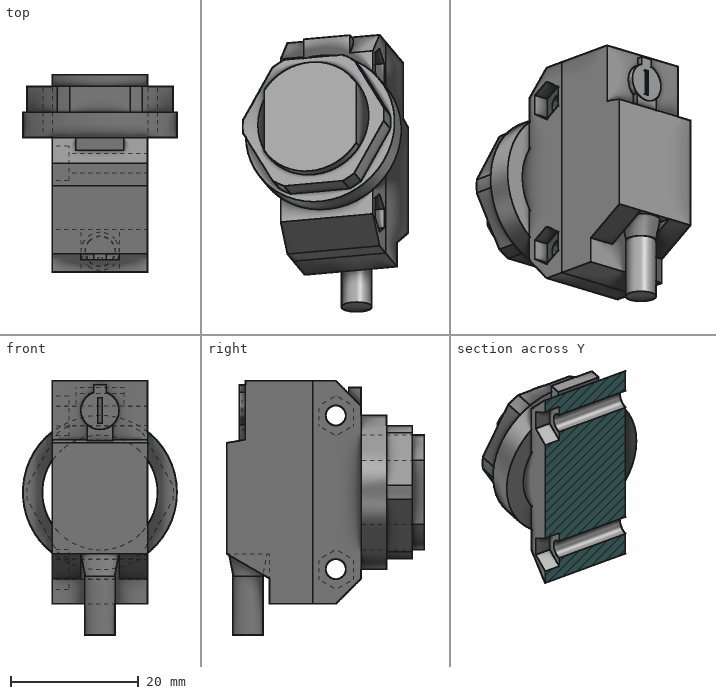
import cadquery as cq
import math


OVERALL_HEIGHT = 39.88

BODY_WIDTH = 15.0
BODY_HEIGHT = 35.0
BODY_DEPTH = 21.1
COVER_DEPTH = 7.58
COVER_CHAMFER = 4.0
UPPER_FRONT_DEPTH = 18.2
LOWER_FRONT_DEPTH = 14.4
STEP_BACK_Z = 8.25
STEP_FRONT_Z = 7.78
SLOPE_FRONT_Z = -9.65
SLOPE_ANGLE = 30
SLOPE_BACK_Z = SLOPE_FRONT_Z - (BODY_DEPTH - LOWER_FRONT_DEPTH) * math.tan(math.radians(SLOPE_ANGLE))

HOLE_DIAMETER = 3.1
HOLE_DEPTH_FROM_REAR = COVER_CHAMFER
HOLE_HALF_SPACING = 12.05
HEX_ACROSS_FLATS = 5.42
HEX_POCKET_DEPTH = 2.6

TAB_WIDTH = 7.55
TAB_THICKNESS = 2.0
TAB_TOP_Z = 16.47

NECK_RADIUS = 9.0
NECK_LENGTH = 9.9
WASHER_DIAMETER = 24.2
WASHER_THICKNESS = 4.0
NUT_THICKNESS = 4.03
NUT_ACROSS_FLATS = 20.9
NUT_CORNER_RADIUS = 11.5

ADJUSTER_Z = 12.85
ADJUSTER_RADIUS = 3.0
ADJUSTER_THICKNESS = 0.95
POINTER_WIDTH = 2.0
POINTER_TOP_Z = 16.85
SLOT_WIDTH = 0.68
SLOT_LENGTH = 4.0
SLOT_DEPTH = 0.4
RIB_WIDTH = 4.0

CABLE_DEPTH_FROM_REAR = 17.8
CABLE_RADIUS = 2.4
CABLE_BOTTOM_Z = BODY_HEIGHT / 2 - OVERALL_HEIGHT
SLEEVE_TOP_RADIUS = 3.0
SLEEVE_BOTTOM_RADIUS = 2.3
SLEEVE_BOTTOM_Z = -13.12
RECESS_WIDTH = 2 * SLEEVE_TOP_RADIUS

TOP_Z = BODY_HEIGHT / 2


def hex_corner_diameter(across_flats):
    """Diameter of the circle through the corners of a hexagon."""
    return across_flats / math.cos(math.pi / 6)


def box(width, y_min, y_max, z_min, z_max):
    """Box centred on X = 0 between the given Y and Z limits."""
    size = (width, y_max - y_min, z_max - z_min)
    return cq.Workplane("XY", origin=(0, y_min, z_min)).box(*size, centered=(True, False, False))


def side_profile(points):
    """Extrude a (Y, Z) outline across the full body width."""
    return cq.Workplane("YZ").polyline(points).close().extrude(BODY_WIDTH / 2, both=True)


def rod(radius, y_min, y_max, z=0):
    """Cylinder along Y."""
    return cq.Workplane("XZ", origin=(0, y_max, z)).circle(radius).extrude(y_max - y_min)


def adjuster_blank():
    """Disc with its pointer, before the slot is cut."""
    back = -UPPER_FRONT_DEPTH
    front = back - ADJUSTER_THICKNESS
    disc = rod(ADJUSTER_RADIUS, front, back, ADJUSTER_Z)
    pointer = box(POINTER_WIDTH, front, back, ADJUSTER_Z, POINTER_TOP_Z)
    return disc.union(pointer)


def make_housing():
    outline = [
        (-COVER_DEPTH, TOP_Z),
        (-UPPER_FRONT_DEPTH, TOP_Z),
        (-UPPER_FRONT_DEPTH, STEP_BACK_Z),
        (-BODY_DEPTH, STEP_FRONT_Z),
        (-BODY_DEPTH, SLOPE_FRONT_Z),
        (-LOWER_FRONT_DEPTH, SLOPE_BACK_Z),
        (-LOWER_FRONT_DEPTH, -TOP_Z),
        (-COVER_DEPTH, -TOP_Z),
    ]
    cable_recess = box(RECESS_WIDTH, -BODY_DEPTH, -LOWER_FRONT_DEPTH, SLOPE_BACK_Z, SLOPE_FRONT_Z)
    return side_profile(outline).cut(cable_recess)


def make_rib(housing):
    """Rib from the adjuster disc down to the sloped step."""
    front = -UPPER_FRONT_DEPTH - ADJUSTER_THICKNESS
    blank = box(RIB_WIDTH, front, -UPPER_FRONT_DEPTH, STEP_FRONT_Z, ADJUSTER_Z)
    return blank.cut(housing).cut(adjuster_blank())


def make_cover():
    """Rear half of the body with its neck, locating tab and mounting holes."""
    outline = [
        (-COVER_DEPTH, TOP_Z),
        (-COVER_CHAMFER, TOP_Z),
        (0, TOP_Z - COVER_CHAMFER),
        (0, COVER_CHAMFER - TOP_Z),
        (-COVER_CHAMFER, -TOP_Z),
        (-COVER_DEPTH, -TOP_Z),
    ]
    tab = box(TAB_WIDTH, -TAB_THICKNESS, 0, TOP_Z - 2 * COVER_CHAMFER, TAB_TOP_Z)
    neck = rod(NECK_RADIUS, 0, NECK_LENGTH)
    neck = neck.intersect(box(BODY_WIDTH, 0, NECK_LENGTH, -NECK_RADIUS, NECK_RADIUS))
    cover = side_profile(outline).union(tab).union(neck)

    for z in (-HOLE_HALF_SPACING, HOLE_HALF_SPACING):
        left_face = cq.Workplane("YZ", origin=(-BODY_WIDTH / 2, -HOLE_DEPTH_FROM_REAR, z))
        hole = left_face.circle(HOLE_DIAMETER / 2).extrude(BODY_WIDTH)
        pocket = left_face.transformed(rotate=(0, 0, 90)).polygon(6, hex_corner_diameter(HEX_ACROSS_FLATS))
        cover = cover.cut(hole).cut(pocket.extrude(HEX_POCKET_DEPTH))
    return cover


def make_washer():
    washer = rod(WASHER_DIAMETER / 2, 0, WASHER_THICKNESS)
    return washer.cut(rod(NECK_RADIUS, 0, WASHER_THICKNESS))


def make_nut():
    """Hexagon nut, flats at top and bottom, with its corners turned round."""
    y_min = WASHER_THICKNESS
    y_max = y_min + NUT_THICKNESS
    corner_diameter = hex_corner_diameter(NUT_ACROSS_FLATS)
    hexagon = cq.Workplane("XZ", origin=(0, y_max, 0)).polygon(6, corner_diameter).extrude(NUT_THICKNESS)
    nut = hexagon.intersect(rod(NUT_CORNER_RADIUS, y_min, y_max))
    return nut.cut(rod(NECK_RADIUS, y_min, y_max))


def make_adjuster():
    front = -UPPER_FRONT_DEPTH - ADJUSTER_THICKNESS
    half_slot = SLOT_LENGTH / 2
    slot = box(SLOT_WIDTH, front, front + SLOT_DEPTH, ADJUSTER_Z - half_slot, ADJUSTER_Z + half_slot)
    return adjuster_blank().cut(slot)


def make_sleeve():
    """Taper from the roof of the housing recess down to the cable."""
    base = cq.Workplane("XY", origin=(0, -CABLE_DEPTH_FROM_REAR, SLEEVE_BOTTOM_Z)).circle(SLEEVE_BOTTOM_RADIUS)
    height = SLOPE_FRONT_Z - SLEEVE_BOTTOM_Z
    return base.workplane(offset=height).circle(SLEEVE_TOP_RADIUS).loft()


def make_cable():
    base = cq.Workplane("XY", origin=(0, -CABLE_DEPTH_FROM_REAR, CABLE_BOTTOM_Z))
    return base.circle(CABLE_RADIUS).extrude(SLEEVE_BOTTOM_Z - CABLE_BOTTOM_Z)


housing = make_housing()
rib = make_rib(housing)
cover = make_cover()
washer = make_washer()
nut = make_nut()
adjuster = make_adjuster()
sleeve = make_sleeve()
cable = make_cable()

result = cq.Compound.makeCompound([
    housing.val(),
    rib.val(),
    cover.val(),
    washer.val(),
    nut.val(),
    adjuster.val(),
    sleeve.val(),
    cable.val(),
])